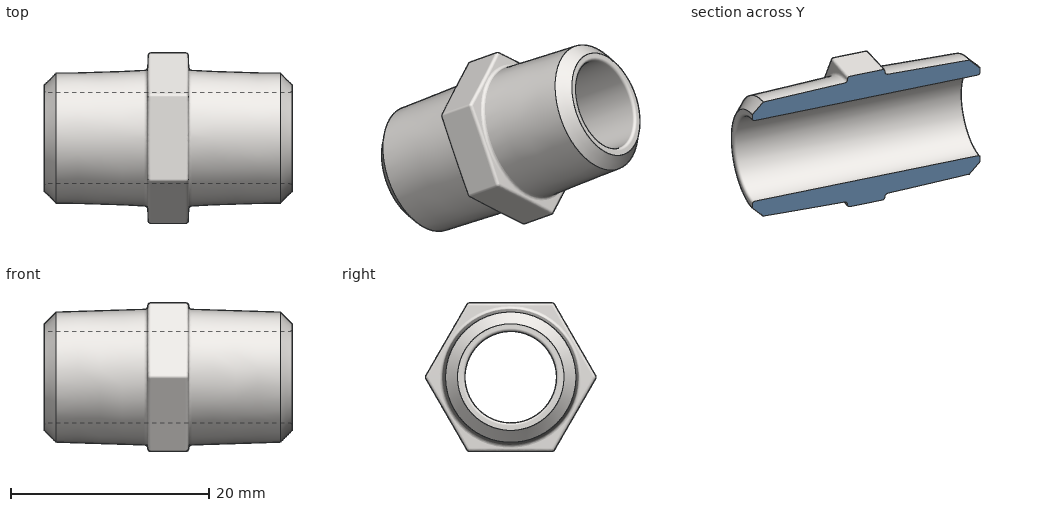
import cadquery as cq
import math

total_length = 25.0
hex_across_flats = 15.0
hex_width = 4.17
face_draft = math.radians(2)
edge_radius = 0.3
root_radius = 0.3

pipe_diameter = 13.716
pipe_taper = 1 / 32
end_chamfer = 1.2
bore_diameter = 9.2
bore_edge_radius = 0.3

half_length = total_length / 2
half_hex_width = hex_width / 2
pipe_radius = pipe_diameter / 2
chamfer_start = half_length - end_chamfer
tip_radius = pipe_radius - pipe_taper * (chamfer_start - half_hex_width)
hex_across_corners = hex_across_flats / math.cos(math.pi / 6)


def revolve_about_x(profile):
    """Solid of revolution about X from a closed half profile of (x, radius) points."""
    return cq.Workplane("XZ").polyline(profile).close().revolve(360, (0, 0, 0), (1, 0, 0))


def make_hexagon():
    """Hexagon with flats facing +Z and -Z, slightly conical end faces and every edge rounded."""
    blank = cq.Workplane("YZ").polygon(6, hex_across_corners).extrude(half_hex_width, both=True)
    rim_radius = hex_across_corners
    rim_half_width = half_hex_width - (rim_radius - pipe_radius) * math.tan(face_draft)
    double_cone = revolve_about_x([
        (-half_hex_width, 0),
        (-half_hex_width, pipe_radius),
        (-rim_half_width, rim_radius),
        (rim_half_width, rim_radius),
        (half_hex_width, pipe_radius),
        (half_hex_width, 0),
    ])
    return blank.intersect(double_cone).edges("not %CIRCLE").fillet(edge_radius)


def make_pipe_end():
    """Tapered, chamfered pipe end on the +X side."""
    return revolve_about_x([
        (0, 0),
        (0, pipe_radius),
        (half_hex_width, pipe_radius),
        (chamfer_start, tip_radius),
        (half_length, tip_radius - end_chamfer),
        (half_length, 0),
    ])


def fillet_roots(body):
    """Fillet the two circles where the pipe ends leave the hexagon."""
    search_size = 2 * pipe_diameter
    search_margin = 0.01
    for side in (-1, 1):
        root_x = side * half_hex_width
        root_edges = cq.selectors.BoxSelector(
            (root_x - search_margin, -search_size, -search_size),
            (root_x + search_margin, search_size, search_size),
            boundingbox=True,
        )
        body = body.edges(root_edges).fillet(root_radius)
    return body


def cut_bore(body):
    """Through bore along X with rounded mouths."""
    bore = cq.Workplane("YZ").circle(bore_diameter / 2).extrude(half_length, both=True)
    mouths = cq.selectors.RadiusNthSelector(0)
    return body.cut(bore).faces("<X or >X").edges(mouths).fillet(bore_edge_radius)


pipe_end = make_pipe_end()
nipple = make_hexagon().union(pipe_end).union(pipe_end.mirror("YZ"))
nipple = fillet_roots(nipple)

result = cut_bore(nipple)